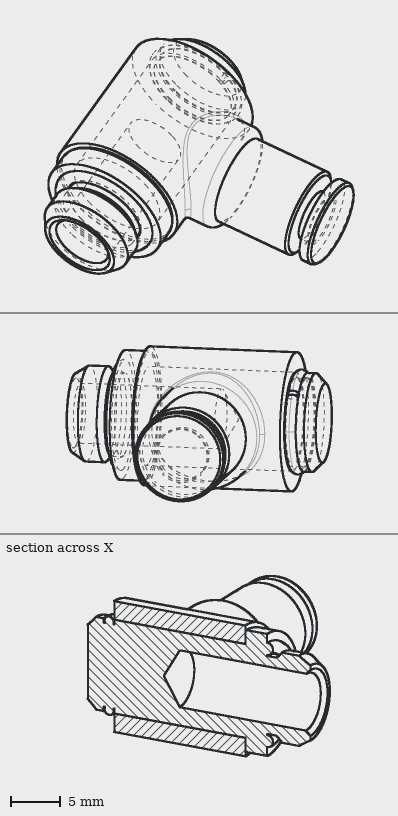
import cadquery as cq
import math


barrel_radius = 6.997
barrel_half_length = 7.5
stem_radius = 4.97

overall_length = 27.6
branch_end = overall_length - barrel_radius
shoulder_radius = 5.52
shoulder_end = 9.65
shoulder_round = 0.88
root_round = 0.45
tube_radius = 4.58
tube_end = 17.77
tube_edge_radius = 4.25
tube_edge_end = 18.0
tube_face_end = 18.22

collet_neck_radius = 2.62
collet_flange_radius = 4.5
collet_flange_start = 19.4
collet_chamfer = 0.25
collet_neck_flare = 0.15

stem_top = 10.55
head_chamfer = 1.0

ring_section_radius = 0.55
ring_center_radius = 4.72
ring_y = barrel_half_length + ring_section_radius + 0.03
ring_groove_top = 8.7
ring_groove_radius = 4.5
ring_gap_width = 0.47
ring_gap_angle = 45.0

collar_radius = 6.527
collar_bottom = -10.02
collar_chamfer_width = 0.08
collar_chamfer_length = 0.22
bead_section_radius = 0.65
bead_center_radius = 4.9

stem_bottom = -14.95
spigot_radius = 4.83
spigot_neck_radius = 4.181
spigot_neck_end = -11.05
spigot_start = -11.7
spigot_taper_start = -13.63
spigot_tip_radius = 4.0

bore_radius = 3.0
bore_mouth_radius = 3.5
bore_mouth_depth = 0.5
bore_end = 0.0
drill_point_half_angle = 59.0


def revolve_about_x(points):
    """Revolve a closed (x, radius) outline about the branch axis."""
    return cq.Workplane("XY").polyline(points).close().revolve(360, (0, 0), (1, 0))


def revolve_about_y(points):
    """Revolve a closed (radius, y) outline about the stem axis."""
    return cq.Workplane("XY").polyline(points).close().revolve(360, (0, 0), (0, 1))


def torus_about_y(center_radius, section_radius, y):
    """Make a ring of round section about the stem axis."""
    section = cq.Workplane("XY").center(center_radius, y).circle(section_radius)
    return section.revolve(360, (-center_radius, 0), (-center_radius, 1))


def cylinder_along_y(radius):
    """Make a cylinder with the length and place of the barrel."""
    return cq.Workplane("XZ").circle(radius).extrude(barrel_half_length, both=True)


def make_branch_tube():
    """Make the tube and its release collet, starting at the shoulder face."""
    return revolve_about_x([
        (shoulder_end, 0),
        (shoulder_end, tube_radius),
        (tube_end, tube_radius),
        (tube_edge_end, tube_edge_radius),
        (tube_face_end, collet_neck_radius),
        (collet_flange_start - collet_neck_flare, collet_neck_radius),
        (collet_flange_start, collet_neck_radius + collet_neck_flare),
        (collet_flange_start, collet_flange_radius),
        (branch_end - collet_chamfer, collet_flange_radius),
        (branch_end, collet_flange_radius - collet_chamfer),
        (branch_end, 0),
    ])


def make_elbow():
    """Make the barrel with its rounded shoulder, branch tube and stem bore."""
    barrel = cylinder_along_y(barrel_radius)
    shoulder = cq.Workplane("YZ").circle(shoulder_radius).extrude(shoulder_end)
    shoulder = shoulder.faces(">X").edges().fillet(shoulder_round)
    body = barrel.union(shoulder)
    root_edge = cq.selectors.BoxSelector(
        (0.28, -shoulder_radius, -barrel_radius),
        (barrel_radius, shoulder_radius, barrel_radius),
    )
    body = body.edges(root_edge).fillet(root_round)
    return body.union(make_branch_tube()).cut(cylinder_along_y(stem_radius))


def make_retaining_ring():
    """Make the round ring with a radial gap."""
    ring = torus_about_y(ring_center_radius, ring_section_radius, ring_y)
    ring_outer_radius = ring_center_radius + ring_section_radius
    gap = (
        cq.Workplane("XY")
        .box(2 * ring_outer_radius, 3 * ring_section_radius, ring_gap_width, centered=(False, True, True))
        .rotate((0, 0, 0), (0, 1, 0), -ring_gap_angle)
        .translate((0, ring_y, 0))
    )
    return ring.cut(gap)


def make_bore():
    """Make the blind bore with a flared mouth and a drill point."""
    drill_point = bore_radius / math.tan(math.radians(drill_point_half_angle))
    return revolve_about_y([
        (0, stem_bottom),
        (bore_mouth_radius, stem_bottom),
        (bore_radius, stem_bottom + bore_mouth_depth),
        (bore_radius, bore_end),
        (0, bore_end + drill_point),
    ])


def make_stem():
    """Make the stem with its head, ring, collar, bead and bored spigot."""
    stem = revolve_about_y([
        (0, stem_top),
        (stem_radius - head_chamfer, stem_top),
        (stem_radius, stem_top - head_chamfer),
        (stem_radius, ring_groove_top),
        (ring_groove_radius, ring_groove_top),
        (ring_groove_radius, barrel_half_length),
        (stem_radius, barrel_half_length),
        (stem_radius, -barrel_half_length),
        (collar_radius - collar_chamfer_width, -barrel_half_length),
        (collar_radius, -barrel_half_length - collar_chamfer_length),
        (collar_radius, collar_bottom),
        (spigot_neck_radius, collar_bottom),
        (spigot_neck_radius, spigot_neck_end),
        (spigot_radius, spigot_start),
        (spigot_radius, spigot_taper_start),
        (spigot_tip_radius, stem_bottom),
        (0, stem_bottom),
    ])
    bead = torus_about_y(bead_center_radius, bead_section_radius, collar_bottom)
    return stem.union(bead).union(make_retaining_ring()).cut(make_bore())


elbow = make_elbow()
stem = make_stem()
result = cq.Compound.makeCompound([elbow.solids().val(), stem.solids().val()])